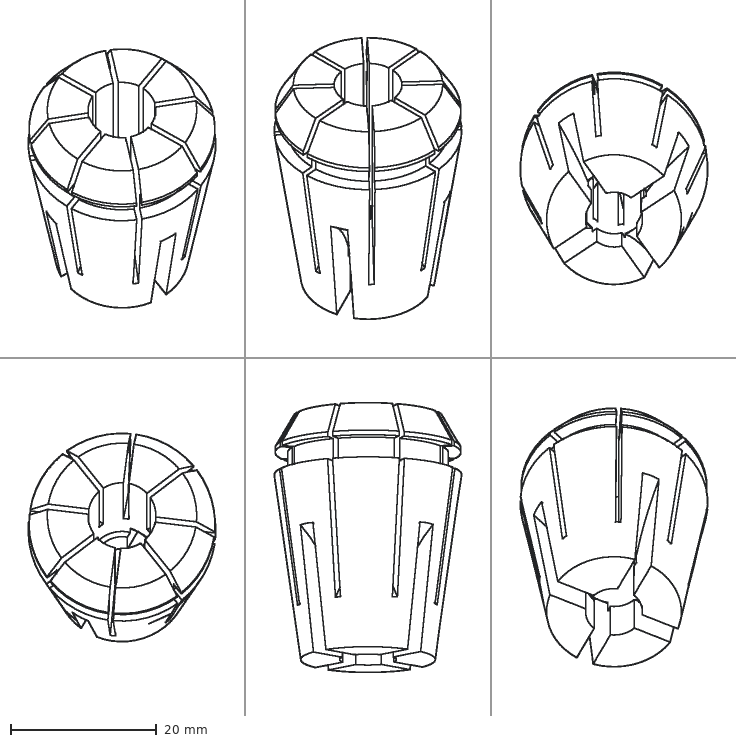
import cadquery as cq
import math

total_height = 34.0
body_diameter = 25.8
body_half_angle = 8.0
body_height = 25.87

head_diameter = 25.57
head_half_angle = 30.0
head_bottom = 29.0
head_rim_top = 29.65
groove_diameter = 22.1

bore_diameter = 9.3
lower_bore_diameter = 7.82
bore_step_height = 6.8

top_slot_count = 8
top_slot_width = 0.75
top_slot_outer_height = 6.95
top_slot_inner_height = 14.0
top_slot_floor_radius = 34.0

bottom_slot_count = 4
bottom_slot_width = 2.48
bottom_slot_outer_height = 17.5
bottom_slot_inner_height = 8.75
bottom_slot_ceiling_radius = 20.4

cut_margin = 1.7

body_radius = body_diameter / 2
head_radius = head_diameter / 2
bore_radius = bore_diameter / 2
body_taper = math.tan(math.radians(body_half_angle))
foot_radius = body_radius - body_height * body_taper
head_top_radius = head_radius - (total_height - head_rim_top) * math.tan(math.radians(head_half_angle))


def body_radius_at(height):
    """Outer radius of the tapered body at a given height."""
    return foot_radius + height * body_taper


def revolved_blank():
    """Solid of revolution with the taper, groove and conical head."""
    profile = [
        (0, 0),
        (foot_radius, 0),
        (body_radius, body_height),
        (groove_diameter / 2, body_height),
        (groove_diameter / 2, head_bottom),
        (head_radius, head_bottom),
        (head_radius, head_rim_top),
        (head_top_radius, total_height),
        (0, total_height),
    ]
    return cq.Workplane("XZ").polyline(profile).close().revolve(360, (0, 0), (0, 1))


def stepped_bore():
    """Through hole plus the wider upper bore."""
    through = cq.Workplane("XY").circle(lower_bore_diameter / 2).extrude(total_height)
    upper = (
        cq.Workplane("XY")
        .workplane(offset=bore_step_height)
        .circle(bore_radius)
        .extrude(total_height - bore_step_height)
    )
    return through.union(upper)


def arc_middle(start, end, arc_radius, side):
    """Midpoint of the arc from start to end, bulging up (side=1) or down (side=-1)."""
    run = end[0] - start[0]
    rise = end[1] - start[1]
    chord = math.hypot(run, rise)
    sagitta = arc_radius - math.sqrt(arc_radius**2 - (chord / 2) ** 2)
    return (
        (start[0] + end[0]) / 2 - side * sagitta * rise / chord,
        (start[1] + end[1]) / 2 + side * sagitta * run / chord,
    )


def radial_slot(width, inner_height, outer_height, open_height, arc_radius, side):
    """Slot along +X from the axis outwards, between its arc-shaped end and open_height."""
    inner = (bore_radius, inner_height)
    outer = (body_radius_at(outer_height), outer_height)
    reach = body_radius + cut_margin
    return (
        cq.Workplane("XZ")
        .moveTo(0, open_height)
        .lineTo(0, inner_height)
        .lineTo(*inner)
        .threePointArc(arc_middle(inner, outer, arc_radius, side), outer)
        .lineTo(reach, outer_height)
        .lineTo(reach, open_height)
        .close()
        .extrude(width / 2, both=True)
    )


def cut_around(part, slot, count, first_angle):
    """Cut equally spaced copies of a slot around the Z axis."""
    for index in range(count):
        angle = first_angle + index * 360 / count
        part = part.cut(slot.rotate((0, 0, 0), (0, 0, 1), angle))
    return part


top_slot = radial_slot(
    top_slot_width,
    top_slot_inner_height,
    top_slot_outer_height,
    total_height + cut_margin,
    top_slot_floor_radius,
    side=-1,
)
bottom_slot = radial_slot(
    bottom_slot_width,
    bottom_slot_inner_height,
    bottom_slot_outer_height,
    -cut_margin,
    bottom_slot_ceiling_radius,
    side=1,
)

result = revolved_blank().cut(stepped_bore())
result = cut_around(result, top_slot, top_slot_count, 180 / top_slot_count)
result = cut_around(result, bottom_slot, bottom_slot_count, 0)